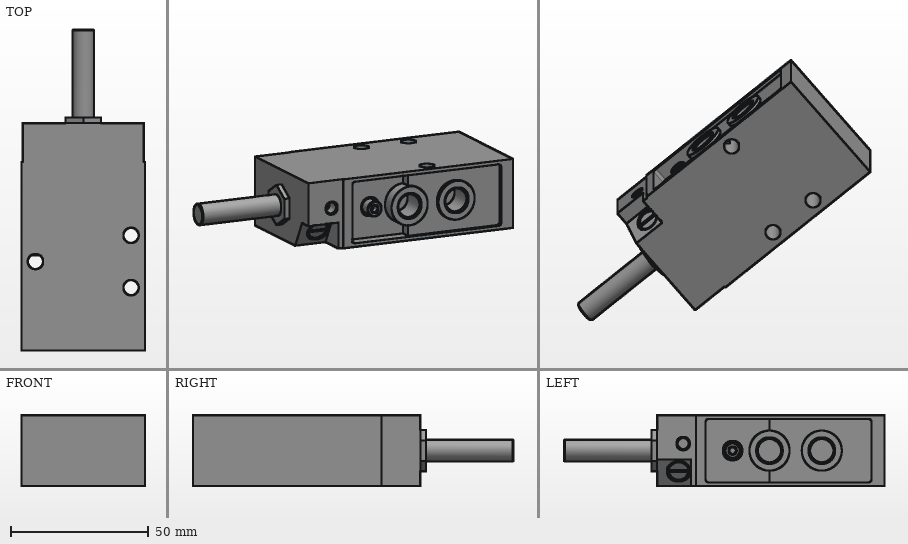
import cadquery as cq
import math

body_width = 45.0
body_length = 68.8
height = 26.0
left_face = -body_width / 2
mid_height = height / 2

cap_width = 44.2
cap_end = 83.0
cap_left = -cap_width / 2

nut_across_flats = 13.1
nut_thickness = 2.1
rod_diameter = 8.0
rod_end = 117
rod_chamfer = 0.4

mount_diameter = 5.5
mount_x = 17.4

panel_front = 4.8
panel_rear = 65.3
panel_margin = 1.4
panel_corner_radius = 1.2
panel_shallow_depth = 1.4
panel_deep_depth = 5.5

port_rear_y = 42.0
port_pitch = 19.1
port_front_y = port_rear_y - port_pitch
port_boss_diameter = 14.6
port_diameter = 8.5
port_rim_diameter = 9.7
port_depth = 10.5
port_boss_length = 8.2

stud_y = 55.5
stud_diameter = 5.7
stud_tip_depth = 1.4
stud_tip_chamfer = 0.2
stud_groove_diameter = 7.1
stud_bore_diameter = 2.5
stud_bore_rim_diameter = 3.0
stud_bore_depth = 3.5

cap_hole_y = 73.5
cap_hole_z = 15.6
cap_hole_diameter = 4.1
cap_hole_rim_diameter = 4.9
cap_hole_depth = 5.8

notch_front = 70.7
notch_height = 9.8
ledge_depth = 5.1
slope_angle = 30
screw_y = 75.1
screw_z = 5.4
screw_hole_diameter = 8.5
screw_head_diameter = 7.4
screw_sink = 0.4
screw_groove_depth = 1.4
slot_width = 0.8
slot_depth = 1.8


def side_cylinder(diameter, y, z, start_depth, end_depth):
    """Cylinder along X between two depths below the left face."""
    plane = cq.Workplane("YZ", origin=(left_face + start_depth, y, z))
    return plane.circle(diameter / 2).extrude(end_depth - start_depth)


def side_cone(mouth_diameter, end_diameter, y, z, start_depth):
    """45 degree cone along X that narrows from its mouth inward."""
    plane = cq.Workplane("YZ", origin=(left_face + start_depth, y, z))
    cone_depth = (mouth_diameter - end_diameter) / 2
    mouth = plane.circle(mouth_diameter / 2)
    return mouth.workplane(offset=cone_depth).circle(end_diameter / 2).loft(ruled=True)


def side_bore(diameter, rim_diameter, y, z, start_depth, depth):
    """Blind bore along X whose mouth has a 45 degree chamfer."""
    bore = side_cylinder(diameter, y, z, start_depth, start_depth + depth)
    return bore.union(side_cone(rim_diameter, diameter, y, z, start_depth))


def make_block(width, front, rear):
    """Full-height block centred on X."""
    return cq.Workplane("XY").box(width, rear - front, height, (True, False, False)).translate((0, front, 0))


def make_rod_and_nut():
    """Hexagonal nut with two corners pointing up and down, and the rod through it."""
    rear_face = cq.Workplane("XZ", origin=(0, cap_end, mid_height))
    nut_across_corners = nut_across_flats / math.cos(math.pi / 6)
    nut = rear_face.transformed(rotate=(0, 0, 90)).polygon(6, nut_across_corners).extrude(-nut_thickness)
    rod = rear_face.circle(rod_diameter / 2).extrude(cap_end - rod_end)
    return nut.union(rod.faces(">Y").chamfer(rod_chamfer))


def make_mount_holes():
    """Through holes; the left one lies midway between the right pair."""
    left_y = (port_front_y + port_rear_y) / 2
    centres = [(mount_x, port_front_y), (mount_x, port_rear_y), (-mount_x, left_y)]
    return cq.Workplane("XY").pushPoints(centres).circle(mount_diameter / 2).extrude(height)


def make_panel():
    """Rounded pocket whose floor steps deeper behind the rear port's centre line."""
    panel_length = panel_rear - panel_front
    centre_y = (panel_front + panel_rear) / 2
    outline = cq.Workplane("YZ", origin=(left_face, centre_y, mid_height)).rect(
        panel_length, height - 2 * panel_margin
    )
    pocket = outline.extrude(panel_deep_depth).edges("|X").fillet(panel_corner_radius)
    step_keep = make_block(body_width - 2 * panel_shallow_depth, 0, port_rear_y)
    return pocket.cut(step_keep)


def add_stud(block):
    """Cut the conical groove in the panel floor, leave the stud inside it and drill its bore."""
    stud_root_depth = panel_deep_depth + (stud_groove_diameter - stud_diameter) / 2
    groove = side_cone(stud_groove_diameter, stud_diameter, stud_y, mid_height, panel_deep_depth)
    stud = side_cylinder(stud_diameter, stud_y, mid_height, stud_tip_depth, stud_root_depth)
    stud = stud.faces("<X").chamfer(stud_tip_chamfer)
    bore = side_bore(
        stud_bore_diameter, stud_bore_rim_diameter, stud_y, mid_height, stud_tip_depth, stud_bore_depth
    )
    return block.cut(groove).union(stud).cut(bore)


def make_notch():
    """Notch profile: ledge at the top, slope running inward down to the underside."""
    slope_top_x = cap_left + ledge_depth
    slope_run = notch_height * math.tan(math.radians(slope_angle))
    profile = cq.Workplane("XZ", origin=(0, notch_front, 0)).polyline(
        [(left_face, 0), (left_face, notch_height), (slope_top_x, notch_height), (slope_top_x + slope_run, 0)]
    )
    return profile.close().extrude(notch_front - cap_end)


def make_screw_cut():
    """Sunk screw head in the slope: the sunk face, a ring groove around the head and a driving slot."""
    tilt = math.radians(slope_angle)
    screw_x = cap_left + ledge_depth + (notch_height - screw_z) * math.tan(tilt)
    inward = (math.cos(tilt), 0, math.sin(tilt))
    face = cq.Workplane(cq.Plane((screw_x, screw_y, screw_z), (0, 1, 0), inward))
    sink = face.circle(screw_hole_diameter / 2).extrude(screw_sink)
    groove = face.circle(screw_hole_diameter / 2).circle(screw_head_diameter / 2).extrude(screw_groove_depth)
    slot = face.rect(screw_hole_diameter, slot_width).extrude(screw_sink + slot_depth)
    return sink.union(groove).union(slot)


body = make_block(body_width, 0, body_length)
body = body.cut(make_panel()).cut(make_mount_holes())
body = add_stud(body)

body = body.union(side_cylinder(port_boss_diameter, port_rear_y, mid_height, 0, port_boss_length))
body = body.union(side_cylinder(port_boss_diameter, port_front_y, mid_height, 0, panel_shallow_depth))
for port_y in (port_front_y, port_rear_y):
    body = body.cut(side_bore(port_diameter, port_rim_diameter, port_y, mid_height, 0, port_depth))

cap = make_block(cap_width, body_length, cap_end)
cap = cap.cut(make_notch()).cut(make_screw_cut())
cap_inset = (body_width - cap_width) / 2
cap = cap.cut(
    side_bore(cap_hole_diameter, cap_hole_rim_diameter, cap_hole_y, cap_hole_z, cap_inset, cap_hole_depth)
)

result = body.union(cap).union(make_rod_and_nut())